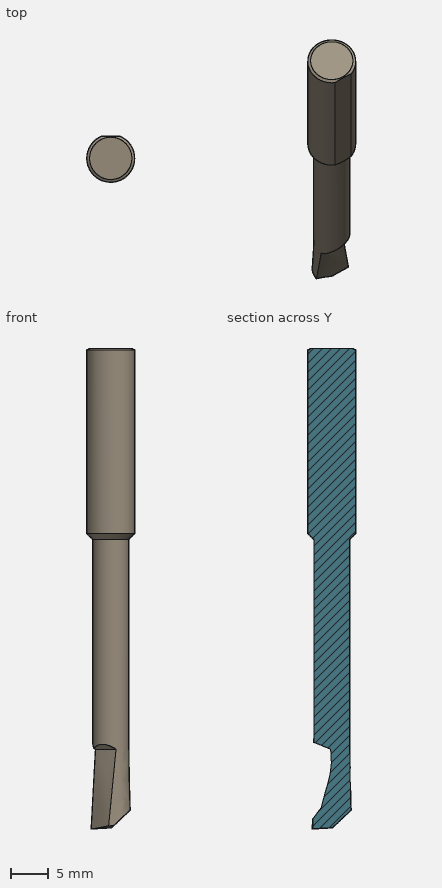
import cadquery as cq
import math

total_length = 63.5
shank_radius = 3.2
shank_flat_y = 2.9
top_bevel_width = 0.4
top_bevel_height = 0.2

neck_radius = 2.4
neck_shoulder_z = 39.05
neck_top_z = neck_shoulder_z - (shank_radius - neck_radius)

head_top_z = 10.55
tip_radius = 2.7
root_edge = (-2.05, -0.95)
tip_edge = (-2.6, 0)
root_face_x = 0.7
tip_face_x = -0.3
root_flank_y = 0.95
tip_flank_y = 0.2

relief_slope_x = 0.06
relief_slope_y = -0.11
bevel_start = (0.1, 0.2)
bevel_end = (2.65, 2.6)
cutter_size = 12.7


def head_corners(radius, edge, face_x, flank_y):
    """Corners of a head section; the last two lie on its rounded back."""
    flank = (math.sqrt(radius**2 - flank_y**2), flank_y)
    face = (face_x, -math.sqrt(radius**2 - face_x**2))
    return edge, flank, face


def add_section(workplane, radius, corners):
    """Flank line, rounded back and rake-face line."""
    edge, flank, face = corners
    flank_angle = math.atan2(flank[1], flank[0])
    face_angle = math.atan2(face[1], face[0])
    middle = (flank_angle + face_angle) / 2
    back = (radius * math.cos(middle), radius * math.sin(middle))
    return workplane.moveTo(*edge).lineTo(*flank).threePointArc(back, face).close()


def runout_cutter(start, end):
    """Wedge leaving a 45 degree slope above the head face from start to end.

    The face's outward side is on the left when going from start to end.
    """
    dx = end[0] - start[0]
    dy = end[1] - start[1]
    plane = cq.Plane(origin=(start[0], start[1], head_top_z), xDir=(-dy, dx, 0), normal=(dx, dy, 0))
    wedge = cq.Workplane(plane).polyline([(0, 0), (cutter_size, 0), (cutter_size, cutter_size)]).close()
    return wedge.extrude(cutter_size, both=True)


body_profile = [
    (0, head_top_z),
    (neck_radius, head_top_z),
    (neck_radius, neck_top_z),
    (shank_radius, neck_shoulder_z),
    (shank_radius, total_length - top_bevel_height),
    (shank_radius - top_bevel_width, total_length),
    (0, total_length),
]
body = cq.Workplane("XZ").polyline(body_profile).close().revolve(360, (0, 0, 0), (0, 1, 0))
flat_cutter = cq.Workplane("XY").box(cutter_size, cutter_size, total_length, centered=(True, False, False))
body = body.cut(flat_cutter.translate((0, shank_flat_y, 0)))

root_corners = head_corners(neck_radius, root_edge, root_face_x, root_flank_y)
tip_corners = head_corners(tip_radius, tip_edge, tip_face_x, tip_flank_y)
root_start, root_flank, root_face = root_corners
body = body.cut(runout_cutter(root_start, root_flank))
body = body.cut(runout_cutter(root_face, root_start))

head = add_section(cq.Workplane("XY"), tip_radius, tip_corners).workplane(offset=head_top_z)
head = add_section(head, neck_radius, root_corners).loft(ruled=True)

relief_plane = cq.Plane(
    origin=(tip_edge[0], tip_edge[1], 0), xDir=(1, 0, relief_slope_x), normal=(-relief_slope_x, -relief_slope_y, 1)
)
head = head.cut(cq.Workplane(relief_plane).rect(cutter_size, cutter_size).extrude(-cutter_size))

bevel_slope = (bevel_end[1] - bevel_start[1]) / (bevel_end[0] - bevel_start[0])
bevel_plane = cq.Plane(
    origin=(bevel_start[0], 0, bevel_start[1]), xDir=(1, 0, bevel_slope), normal=(-bevel_slope, 0, 1)
)
head = head.cut(cq.Workplane(bevel_plane).rect(cutter_size, cutter_size).extrude(-cutter_size))

result = body.union(head)